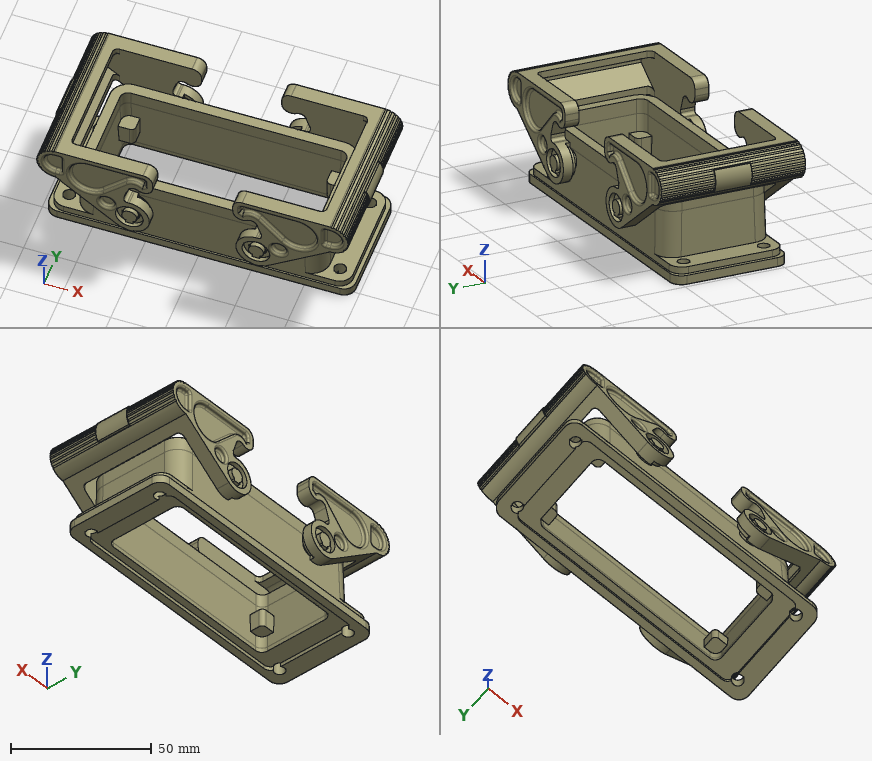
import cadquery as cq
import math

FLANGE_LENGTH, FLANGE_WIDTH, FLANGE_TOP, FLANGE_CORNER = 116.0, 45.4, 3.4, 4.5
PLATE_LENGTH, PLATE_TOP, PLATE_CORNER = 112.9, 6.0, 5.1
SCREW_HOLE_DIAMETER, SCREW_HOLE_X, SCREW_HOLE_Y = 4.5, 51.2, 16.1

HOUSING_LENGTH, HOUSING_WIDTH, HOUSING_CORNER = 93.5, 42.9, 7.0
FOOT_LENGTH, FOOT_WIDTH = 94.4, 44.0
RIM_BOTTOM, RIM_TOP = 23.6, 29.2

OPENING_LENGTH, OPENING_WIDTH, OPENING_CORNER = 85.6, 34.7, 3.1
OPENING_DRAFT_X, OPENING_DRAFT_Y = 1.2, 0.77
LIP_BOTTOM, LIP_TOP = 1.7, 3.5
SEAL_LENGTH, SEAL_WIDTH, SEAL_CORNER = 99.6, 39.1, 3.1
BLOCK_INNER_X, BLOCK_INNER_Y, BLOCK_BOTTOM, BLOCK_TOP, BLOCK_CORNER = 36.2, 11.0, 9.1, 16.8, 1.8
BLOCK_EMBEDMENT = 1.2

LEVER_WIDTH, LEVER_TOP = 58.0, 44.5
ARM_THICKNESS = 5.7
GRIP_RADIUS, GRIP_X = 7.0, -52.0
GRIP_Z = LEVER_TOP - GRIP_RADIUS
GRIP_INNER_X, GRIP_INNER_CORNER = -48.2, 2.0
GRIP_WALL = 2.6
PIVOT_X, PIVOT_Z, PIVOT_BOSS_RADIUS = -24.0, 19.5, 7.6
PIN_TIP_RADIUS, PIN_ROOT_RADIUS, PIN_EMBEDMENT = 3.4, 3.8, 1.2
BOSS_RELIEF_DEPTH, BOSS_RELIEF_RADIUS, BOSS_RELIEF_WIDTH = 1.8, 5.9, 5.9
HOOK_TIP_X, HOOK_RADIUS, HOOK_Z = -15.2, 3.5, 38.4
NOTCH_X, NOTCH_RADIUS, NOTCH_START_ANGLE = -22.1, 2.4, 162.0
HEEL_X, HEEL_TOP, HEEL_RADIUS = -26.0, 29.5, 1.3

GROOVE_RADIUS, GROOVE_COUNT, GROOVE_PITCH, FIRST_GROOVE_ANGLE = 0.4, 9, 15.0, 97.5
PAD_X, PAD_WIDTH, PAD_BOTTOM, PAD_TOP = -59.3, 14.7, 33.3, 41.7

POCKET_DEPTH, POCKET_ROUND = 1.9, 0.8
DISH_X, DISH_Z, DISH_RADIUS = -32.5, 23.6, 3.0
END_POCKET_RADIUS, END_POCKET_RIGHT, END_POCKET_CORNER = 4.5, -49.5, 1.0
DROP_X, DROP_Z, DROP_RADIUS = -39.4, 34.4, 7.6
DROP_NECK_X, DROP_NECK_Z, DROP_NECK_RADIUS, DROP_NECK_END_ANGLE = -22.1, 34.5, 4.5, 45.0
DROP_TIP_X, DROP_TIP_CORNER, DROP_TIP_Z = -17.8, 1.3, 38.5
RECESS_RADIUS, RECESS_DEPTH, PIN_HEAD_RADIUS = 5.2, 1.9, 2.8
CLIP_GROOVE_RADIUS, CLIP_GROOVE_DEPTH, CLIP_NECK_WIDTH = 3.4, 3.1, 2.8

HALF_LEVER = LEVER_WIDTH / 2
ARM_INNER_Y = HALF_LEVER - ARM_THICKNESS


def polar(x, z, radius, degrees):
    angle = math.radians(degrees)
    return (x + radius * math.cos(angle), z + radius * math.sin(angle))


def rounded_block(length, width, corner, bottom, top):
    block = cq.Workplane("XY").workplane(offset=bottom).rect(length, width)
    return block.extrude(top - bottom).edges("|Z").fillet(corner)


def drafted_block(lower, upper, corner, bottom, top):
    """Rounded block whose length and width change from lower to upper."""
    sketches = [cq.Sketch().rect(*size).vertices().fillet(corner) for size in (lower, upper)]
    placed = cq.Workplane("XY").placeSketch(
        sketches[0].moved(cq.Location(cq.Vector(0, 0, bottom))),
        sketches[1].moved(cq.Location(cq.Vector(0, 0, top))),
    )
    return placed.loft()


def make_housing():
    flange = rounded_block(FLANGE_LENGTH, FLANGE_WIDTH, FLANGE_CORNER, 0, FLANGE_TOP)
    draft = (FOOT_WIDTH - HOUSING_WIDTH) / (RIM_BOTTOM - FLANGE_TOP)
    plate_bottom_size = (PLATE_LENGTH, FOOT_WIDTH)
    plate_top_size = (PLATE_LENGTH, FOOT_WIDTH - draft * (PLATE_TOP - FLANGE_TOP))
    plate = drafted_block(plate_bottom_size, plate_top_size, PLATE_CORNER, FLANGE_TOP, PLATE_TOP)
    rim_size = (HOUSING_LENGTH, HOUSING_WIDTH)
    foot_size = (FOOT_LENGTH, FOOT_WIDTH)
    wall = drafted_block(foot_size, rim_size, HOUSING_CORNER, FLANGE_TOP, RIM_BOTTOM)
    rim = rounded_block(*rim_size, HOUSING_CORNER, RIM_BOTTOM, RIM_TOP)
    housing = flange.union(plate).union(wall).union(rim)

    mouth = (OPENING_LENGTH, OPENING_WIDTH)
    lip = (OPENING_LENGTH - 2 * OPENING_DRAFT_X, OPENING_WIDTH - 2 * OPENING_DRAFT_Y)
    opening = rounded_block(*mouth, OPENING_CORNER, RIM_BOTTOM, RIM_TOP)
    opening = opening.union(drafted_block(lip, mouth, OPENING_CORNER, LIP_TOP, RIM_BOTTOM))
    opening = opening.union(rounded_block(*lip, OPENING_CORNER, LIP_BOTTOM, LIP_TOP))
    opening = opening.union(rounded_block(SEAL_LENGTH, SEAL_WIDTH, SEAL_CORNER, 0, LIP_BOTTOM))
    housing = housing.cut(opening)

    screw_holes = (
        cq.Workplane("XY")
        .rect(2 * SCREW_HOLE_X, 2 * SCREW_HOLE_Y, forConstruction=True)
        .vertices()
        .circle(SCREW_HOLE_DIAMETER / 2)
        .extrude(PLATE_TOP)
    )
    return housing.cut(screw_holes).union(make_corner_blocks())


def make_corner_blocks():
    """Four blocks filling the corners of the opening around a plus-shaped passage."""
    height = BLOCK_TOP - BLOCK_BOTTOM
    layer = cq.Workplane("XY").workplane(offset=BLOCK_BOTTOM)
    outer_x = OPENING_LENGTH / 2 + BLOCK_EMBEDMENT
    outer_y = OPENING_WIDTH / 2 + BLOCK_EMBEDMENT
    blocks = cq.Workplane("XY")
    for side_x in (-1, 1):
        for side_y in (-1, 1):
            centre = (side_x * (BLOCK_INNER_X + outer_x) / 2, side_y * (BLOCK_INNER_Y + outer_y) / 2)
            block = (
                layer.center(*centre)
                .rect(outer_x - BLOCK_INNER_X, outer_y - BLOCK_INNER_Y)
                .extrude(height)
                .edges("|Z")
                .fillet(BLOCK_CORNER)
            )
            blocks = blocks.union(block)
    return blocks


GRIP_LOWEST = (GRIP_X, GRIP_Z - GRIP_RADIUS)
RUN = PIVOT_X - GRIP_LOWEST[0]
RISE = PIVOT_Z - GRIP_LOWEST[1]
UNDERSIDE_ANGLE = math.degrees(
    math.atan2(RISE, RUN) - math.asin(PIVOT_BOSS_RADIUS / math.hypot(RUN, RISE))
)


def make_lever_plate():
    """Side outline of the lever, extruded over the half at -Y."""
    hook_x = HOOK_TIP_X - HOOK_RADIUS
    notch_dx = hook_x - NOTCH_X
    notch_dz = math.sqrt((HOOK_RADIUS + NOTCH_RADIUS) ** 2 - notch_dx**2)
    notch_z = HOOK_Z - notch_dz
    notch_end = math.degrees(math.atan2(notch_dz, notch_dx))
    boss_top = PIVOT_Z + PIVOT_BOSS_RADIUS
    boss_start = UNDERSIDE_ANGLE - 90

    def boss(degrees):
        return polar(PIVOT_X, PIVOT_Z, PIVOT_BOSS_RADIUS, degrees)

    def heel(degrees):
        return polar(HEEL_X + HEEL_RADIUS, boss_top + HEEL_RADIUS, HEEL_RADIUS, degrees)

    def notch(degrees):
        return polar(NOTCH_X, notch_z, NOTCH_RADIUS, degrees)

    def hook(degrees):
        return polar(hook_x, HOOK_Z, HOOK_RADIUS, degrees)

    return (
        cq.Workplane("XZ")
        .moveTo(GRIP_X, LEVER_TOP)
        .threePointArc((GRIP_X - GRIP_RADIUS, GRIP_Z), GRIP_LOWEST)
        .lineTo(*boss(boss_start))
        .threePointArc(boss((boss_start + 90) / 2), boss(90))
        .lineTo(*heel(270))
        .threePointArc(heel(225), heel(180))
        .lineTo(HEEL_X, HEEL_TOP)
        .lineTo(*notch(NOTCH_START_ANGLE))
        .threePointArc(notch((NOTCH_START_ANGLE + notch_end) / 2), notch(notch_end))
        .threePointArc(hook(notch_end / 2 - 90), hook(0))
        .lineTo(HOOK_TIP_X, LEVER_TOP - HOOK_RADIUS)
        .radiusArc((hook_x, LEVER_TOP), -HOOK_RADIUS)
        .close()
        .extrude(HALF_LEVER)
    )


def make_arm_gap():
    """Space between the two arms, open towards the hooks."""
    length = HOOK_TIP_X - GRIP_INNER_X
    return (
        cq.Workplane("XY")
        .center(GRIP_INNER_X + length / 2, 0)
        .rect(length, 2 * ARM_INNER_Y)
        .extrude(LEVER_TOP)
        .edges("|Z and <X")
        .fillet(GRIP_INNER_CORNER)
    )


def make_grip_hollow():
    """Hollow of even wall inside the grip, open towards the arm gap."""
    radius = GRIP_RADIUS - GRIP_WALL
    floor_distance = GRIP_RADIUS * math.cos(math.radians(UNDERSIDE_ANGLE)) - GRIP_WALL
    floor_start = UNDERSIDE_ANGLE + 270 - math.degrees(math.acos(floor_distance / radius))
    start = polar(GRIP_X, GRIP_Z, radius, floor_start)
    mouth_x = GRIP_INNER_X + GRIP_INNER_CORNER
    mouth_z = start[1] + (mouth_x - start[0]) * math.tan(math.radians(UNDERSIDE_ANGLE))
    return (
        cq.Workplane("XZ", origin=(0, ARM_INNER_Y, 0))
        .moveTo(mouth_x, LEVER_TOP - GRIP_WALL)
        .lineTo(GRIP_X, LEVER_TOP - GRIP_WALL)
        .threePointArc(polar(GRIP_X, GRIP_Z, radius, (90 + floor_start) / 2), start)
        .lineTo(mouth_x, mouth_z)
        .close()
        .extrude(2 * ARM_INNER_Y)
    )


def make_grip_grooves():
    sketch = cq.Workplane("XZ", origin=(0, HALF_LEVER, 0))
    centres = [
        polar(GRIP_X, GRIP_Z, GRIP_RADIUS, FIRST_GROOVE_ANGLE + index * GROOVE_PITCH)
        for index in range(GROOVE_COUNT)
    ]
    return sketch.pushPoints(centres).circle(GROOVE_RADIUS).extrude(LEVER_WIDTH)


def make_badge_pad():
    """Smooth pad standing a little proud of the grip, halfway along it."""
    radius = GRIP_X - PAD_X
    ring = (
        cq.Workplane("XZ", origin=(GRIP_X, PAD_WIDTH / 2, GRIP_Z))
        .circle(radius)
        .circle(GRIP_RADIUS - GROOVE_RADIUS)
        .extrude(PAD_WIDTH)
    )
    height = PAD_TOP - PAD_BOTTOM
    window = cq.Workplane("XY").box(radius, PAD_WIDTH, height)
    return ring.intersect(window.translate((PAD_X + radius / 2, 0, PAD_BOTTOM + height / 2)))


def outer_face():
    """Workplane on the outer face of the arm at -Y; negative depths go into the arm."""
    return cq.Workplane("XZ", origin=(0, -HALF_LEVER, 0))


def end_pocket():
    """D-shaped pocket in the end of the grip."""
    top, bottom = GRIP_Z + END_POCKET_RADIUS, GRIP_Z - END_POCKET_RADIUS
    return (
        outer_face()
        .moveTo(GRIP_X, top)
        .threePointArc((GRIP_X - END_POCKET_RADIUS, GRIP_Z), (GRIP_X, bottom))
        .lineTo(END_POCKET_RIGHT, bottom)
        .lineTo(END_POCKET_RIGHT, top)
        .close()
        .extrude(-POCKET_DEPTH)
        .edges("|Y and >X")
        .fillet(END_POCKET_CORNER)
    )


def drop_pocket():
    """Drop-shaped pocket: a round bowl whose neck bends over the hook notch."""
    dx, dz = DROP_NECK_X - DROP_X, DROP_NECK_Z - DROP_Z
    flank = math.degrees(
        math.atan2(dz, dx) - math.acos((DROP_RADIUS + DROP_NECK_RADIUS) / math.hypot(dx, dz))
    )
    tip_turn = DROP_TIP_X - DROP_TIP_CORNER

    def bowl(degrees):
        return polar(DROP_X, DROP_Z, DROP_RADIUS, degrees)

    def neck(degrees):
        return polar(DROP_NECK_X, DROP_NECK_Z, DROP_NECK_RADIUS, degrees)

    return (
        outer_face()
        .moveTo(*bowl(90))
        .threePointArc(bowl((flank + 90) / 2 + 180), bowl(flank))
        .lineTo(*neck(flank + 180))
        .threePointArc(neck(90), neck(DROP_NECK_END_ANGLE))
        .lineTo(DROP_TIP_X, DROP_TIP_Z)
        .lineTo(DROP_TIP_X, DROP_Z + DROP_RADIUS - DROP_TIP_CORNER)
        .radiusArc((tip_turn, DROP_Z + DROP_RADIUS), -DROP_TIP_CORNER)
        .close()
        .extrude(-POCKET_DEPTH)
    )


def dish_pocket():
    return outer_face().center(DISH_X, DISH_Z).circle(DISH_RADIUS).extrude(-POCKET_DEPTH)


def cut_rounded_pockets(arm):
    """Cut the three pockets with rounded floors and rounded mouths."""
    for pocket in (end_pocket(), drop_pocket(), dish_pocket()):
        arm = arm.cut(pocket.faces(">Y").edges().fillet(POCKET_ROUND))
    mouths = [edge for wire in arm.faces("<Y").val().innerWires() for edge in wire.Edges()]
    return arm.newObject(mouths).fillet(POCKET_ROUND)


def pivot_disc(radius, depth):
    return outer_face().center(PIVOT_X, PIVOT_Z).circle(radius).extrude(-depth)


def pivot_recess():
    """Recess around a pin head with a neck pointing down, and deeper grooves beside that neck."""
    head = pivot_disc(PIN_HEAD_RADIUS, CLIP_GROOVE_DEPTH)
    lower_half = (
        outer_face()
        .center(PIVOT_X, PIVOT_Z - RECESS_RADIUS / 2)
        .rect(2 * RECESS_RADIUS, RECESS_RADIUS)
        .extrude(-CLIP_GROOVE_DEPTH)
    )
    groove = pivot_disc(CLIP_GROOVE_RADIUS, CLIP_GROOVE_DEPTH).intersect(lower_half)
    neck = (
        outer_face()
        .center(PIVOT_X, PIVOT_Z - CLIP_GROOVE_RADIUS / 2)
        .rect(CLIP_NECK_WIDTH, CLIP_GROOVE_RADIUS)
        .extrude(-CLIP_GROOVE_DEPTH)
    )
    recess = pivot_disc(RECESS_RADIUS, RECESS_DEPTH).union(groove)
    return recess.cut(head).cut(neck)


def boss_relief():
    """Step in the inner face of the pivot boss, on its side towards the hook."""
    ring = (
        cq.Workplane("XZ", origin=(PIVOT_X, -ARM_INNER_Y, PIVOT_Z))
        .circle(PIVOT_BOSS_RADIUS)
        .circle(BOSS_RELIEF_RADIUS)
        .extrude(BOSS_RELIEF_DEPTH)
    )
    side_x = PIVOT_X + PIVOT_BOSS_RADIUS - BOSS_RELIEF_WIDTH / 2
    side = (
        cq.Workplane("XZ", origin=(side_x, -ARM_INNER_Y, PIVOT_Z))
        .rect(BOSS_RELIEF_WIDTH, 2 * PIVOT_BOSS_RADIUS)
        .extrude(BOSS_RELIEF_DEPTH)
    )
    return ring.intersect(side)


def make_pivot_pin():
    """Tapered pin from inside the housing wall to the inner face of the arm at -Y."""
    root_y = -HOUSING_WIDTH / 2 + PIN_EMBEDMENT
    return (
        cq.Workplane("XZ", origin=(PIVOT_X, root_y, PIVOT_Z))
        .circle(PIN_ROOT_RADIUS)
        .workplane(offset=ARM_INNER_Y + root_y)
        .circle(PIN_TIP_RADIUS)
        .loft()
    )


def make_lever():
    """Lever at the -X end, with pins reaching into the housing wall."""
    half = make_lever_plate().cut(make_arm_gap()).cut(make_grip_hollow())
    half = cut_rounded_pockets(half).cut(pivot_recess()).cut(boss_relief())
    half = half.union(make_pivot_pin())
    lever = half.union(half.mirror("XZ"))
    return lever.cut(make_grip_grooves()).union(make_badge_pad())


left_lever = make_lever()
result = make_housing().union(left_lever).union(left_lever.mirror("YZ"))